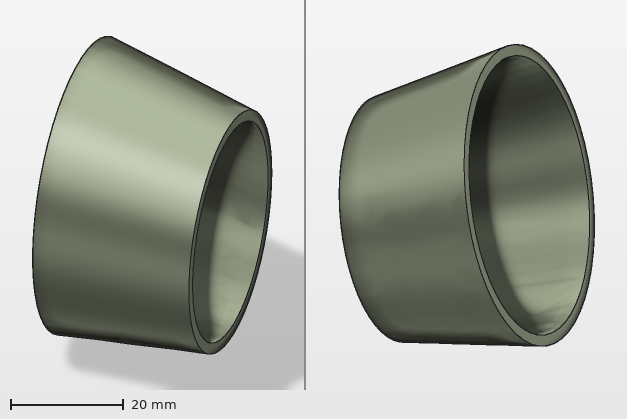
import cadquery as cq

length = 30.0
large_diameter = 53.9
small_diameter = 44.05
wall = 2.0
overall_width = 55.5

small_end_offset = overall_width - (large_diameter + small_diameter) / 2


def oblique_cone(inset):
    """Solid between the two end circles, each reduced in radius by the inset."""
    return (
        cq.Workplane("YZ")
        .circle(large_diameter / 2 - inset)
        .workplane(offset=length)
        .center(-small_end_offset, 0)
        .circle(small_diameter / 2 - inset)
        .loft(ruled=True)
    )


result = oblique_cone(0).cut(oblique_cone(wall))